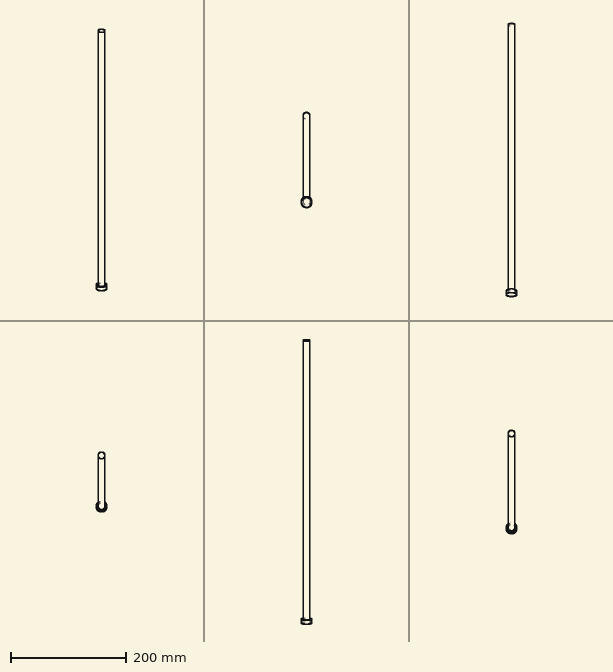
import cadquery as cq

shaft_diameter = 12.0
shaft_length = 500.0
head_diameter = 18.0
head_height = 7.0


def make_head():
    """Round head standing on the Z = 0 plane."""
    return cq.Workplane("XY").circle(head_diameter / 2).extrude(head_height)


def make_shaft():
    """Plain round shaft rising from the top of the head."""
    return (
        cq.Workplane("XY")
        .workplane(offset=head_height)
        .circle(shaft_diameter / 2)
        .extrude(shaft_length)
    )


result = make_head().union(make_shaft())